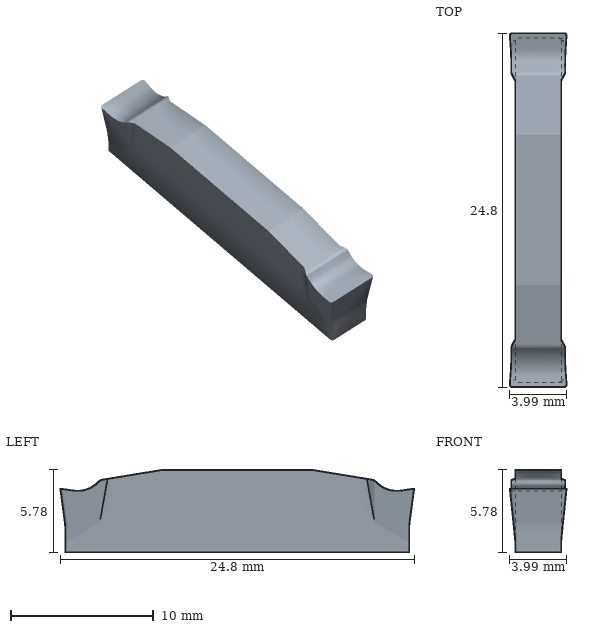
import cadquery as cq
import math

length = 24.8
height = 5.78
body_width = 3.25
flat_top_length = 10.52
half_length = length / 2
half_body = body_width / 2

edge_height = 4.47
rake_length = 0.95
rake_angle = math.radians(8)
groove_radius = 2.0
groove_exit_angle = math.radians(45)
ramp_angle = math.radians(9.3)
relief_depth = 0.35
relief_foot_height = 1.89
relief_blend_radius = 3.6
ridge_radius = 0.6

head_width = 4.02
flank_foot_height = 0.52
flank_foot_rise = 0.58
neck_depth = 2.78
neck_length = 0.75
neck_slope = 0.54
neck_radius = 0.2
corner_radius = 0.2
overrun = 0.25
flank_lean = (head_width / 2 - half_body) / (edge_height - flank_foot_height)


def side_profile():
    """Full-length outline in Y and Z, extruded over the widest part of the head."""
    rake_end = (rake_length, edge_height - rake_length * math.tan(rake_angle))
    centre_depth = rake_end[0] + groove_radius * math.sin(rake_angle)
    centre_height = rake_end[1] + groove_radius * math.cos(rake_angle)
    groove_bottom = (centre_depth, centre_height - groove_radius)
    groove_end = (
        centre_depth + groove_radius * math.sin(groove_exit_angle),
        centre_height - groove_radius * math.cos(groove_exit_angle),
    )
    ramp_top = (half_length - flat_top_length / 2, height)

    exit_slope = math.tan(groove_exit_angle)
    ramp_slope = math.tan(ramp_angle)
    ramp_height_at_groove = height - (ramp_top[0] - groove_end[0]) * ramp_slope
    ridge_run = (ramp_height_at_groove - groove_end[1]) / (exit_slope - ramp_slope)
    ridge = (groove_end[0] + ridge_run, groove_end[1] + ridge_run * exit_slope)

    half = (
        cq.Workplane("YZ")
        .moveTo(0, 0)
        .lineTo(relief_depth - half_length, 0)
        .lineTo(relief_depth - half_length, relief_foot_height)
        .lineTo(-half_length, edge_height)
        .lineTo(rake_end[0] - half_length, rake_end[1])
        .threePointArc(
            (groove_bottom[0] - half_length, groove_bottom[1]),
            (groove_end[0] - half_length, groove_end[1]),
        )
        .lineTo(ridge[0] - half_length, ridge[1])
        .lineTo(ramp_top[0] - half_length, height)
        .lineTo(0, height)
        .close()
        .extrude(head_width, both=True)
    )

    def edge_at(point):
        return cq.selectors.NearestToPointSelector((0, point[0] - half_length, point[1]))

    half = half.edges("|X").edges(edge_at(ridge)).fillet(ridge_radius)
    half = half.edges("|X").edges(edge_at((relief_depth, relief_foot_height))).fillet(relief_blend_radius)
    return half.union(half.mirror("XZ"))


def flared_head():
    """Width envelope of the head at the -Y end, with planar flanks and neck faces."""

    def half_width(depth, level):
        return half_body + flank_lean * (level - flank_foot_height - flank_foot_rise * depth)

    def section(level):
        neck_half = half_width(neck_depth, level)
        back_depth = neck_depth + neck_length
        right = [
            (half_width(-overrun, level), -overrun),
            (neck_half, neck_depth),
            (neck_half - neck_slope * neck_length, back_depth),
        ]
        left = [(-x, depth) for x, depth in reversed(right)]
        points = [cq.Vector(x, depth - half_length, level) for x, depth in right + left]
        return cq.Wire.makePolygon(points, close=True)

    head = cq.Workplane(cq.Solid.makeLoft([section(0), section(height)], True))
    for side in (-1, 1):
        middle = height / 2
        neck_edge = (side * half_width(neck_depth, middle), neck_depth - half_length, middle)
        head = head.edges(cq.selectors.NearestToPointSelector(neck_edge)).fillet(neck_radius)
    return head


def rounded_end_corners(part):
    """Round the upright corners of both end faces."""
    end_zone = half_length - relief_depth - corner_radius / 2
    corners = []
    for edge in part.edges("not(|X)").vals():
        box = edge.BoundingBox()
        upright = box.zlen > max(box.xlen, box.ylen)
        if upright and abs(edge.Center().y) > end_zone:
            corners.append(edge)
    return part.newObject(corners).fillet(corner_radius)


body = cq.Workplane("XY").box(body_width, length, height, centered=(True, True, False))
head = flared_head()
envelope = body.union(head).union(head.mirror("XZ"))
result = rounded_end_corners(side_profile().intersect(envelope))